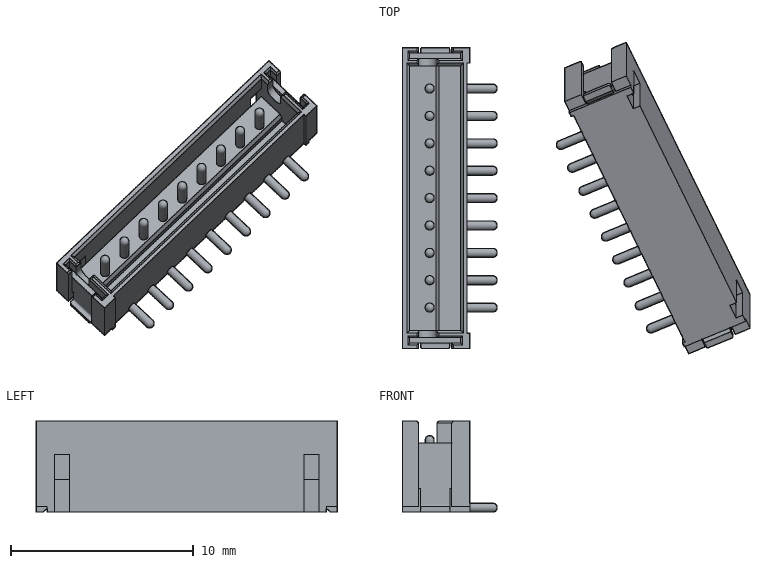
import math

import cadquery as cq


length = 16.5
height = 5.0
body_width = 3.55
flange_width = 3.7
flange_depth = 0.85
end_face = length / 2

wall = 0.4
cavity_width = 2.8
end_wall_inner = 1.0
floor_z = 1.8
lead_in = 0.15
lead_in_height = 0.2
step_x = 1.85
step_run = 0.15
step_bevel = 0.3
low_floor_z = 1.0

panel_outer = 0.3
panel_inner = 0.6
panel_top = 3.8
post_gap_start = 0.9
post_gap_end = 2.7
notch_width = 1.0
edge_chamfer = 0.1

slit_width = 0.1
foot_start = post_gap_start + slit_width
foot_end = post_gap_end - slit_width
foot_top = 0.3
foot_toe = 0.37
foot_round = 0.1
relief_depth = 0.6
relief_slope_top = 0.2
slit_top = 1.3

window_offset = 1.0
window_width = 0.82
window_top = 3.15

pin_count = 9
pin_pitch = 1.5
pin_diameter = 0.5
pin_x = 1.5
pin_top = 4.2
pin_reach = 5.2


def block(x0, x1, y0, y1, z0, z1):
    """Axis-aligned box between the given limits."""
    return cq.Workplane("XY").box(x1 - x0, y1 - y0, z1 - z0, centered=False).translate((x0, y0, z0))


def flared_opening(x0, x1, y0, y1, bottom, flare, flare_height):
    """Rectangular cutter open at the housing top, widening by `flare` over `flare_height`."""
    taper = math.degrees(math.atan2(flare, flare_height))
    mouth = (
        cq.Workplane("XY")
        .workplane(offset=height)
        .center((x0 + x1) / 2, (y0 + y1) / 2)
        .rect(x1 - x0 + 2 * flare, y1 - y0 + 2 * flare)
        .extrude(-flare_height, taper=taper)
    )
    return block(x0, x1, y0, y1, bottom, height).union(mouth)


def both_ends(shape):
    """A +Y end shape together with its mirror image at the -Y end."""
    return shape.union(shape.mirror("XZ"))


def housing_blank():
    """Solid block with a wider flange at each end."""
    body = block(0, body_width, -end_face, end_face, 0, height)
    flange = block(0, flange_width, end_face - flange_depth, end_face, 0, height)
    return body.union(both_ends(flange))


def cavity():
    """Mating cavity whose floor steps down, past a bevelled edge, on the +X side of the pins."""
    far_wall = wall + cavity_width
    half_length = end_face - end_wall_inner
    opening = flared_opening(
        wall, far_wall, -half_length, half_length, floor_z, lead_in, lead_in_height
    )
    low_floor = (
        cq.Workplane("XZ")
        .moveTo(step_x, floor_z)
        .lineTo(step_x + step_run, floor_z - step_bevel)
        .lineTo(step_x + step_run, low_floor_z)
        .lineTo(far_wall, low_floor_z)
        .lineTo(far_wall, floor_z)
        .close()
        .extrude(half_length, both=True)
    )
    return opening.union(low_floor)


def end_pocket():
    """Pocket above the end panel, with the full-height gap between the corner posts."""
    pocket = flared_opening(
        wall,
        wall + cavity_width,
        end_face - panel_inner,
        end_face - panel_outer,
        panel_top,
        edge_chamfer,
        edge_chamfer,
    )
    gap = flared_opening(
        post_gap_start,
        post_gap_end,
        end_face - panel_outer,
        end_face,
        0,
        edge_chamfer,
        edge_chamfer,
    )
    return pocket.union(gap)


def key_notch():
    """Round-bottomed notch through the wall between the end pocket and the cavity."""
    radius = notch_width / 2
    notch_y = end_face - end_wall_inner
    wall_thickness = end_wall_inner - panel_inner
    slot = flared_opening(
        post_gap_start,
        post_gap_start + notch_width,
        notch_y,
        notch_y + wall_thickness,
        panel_top,
        edge_chamfer,
        edge_chamfer,
    )
    round_bottom = (
        cq.Workplane("XZ", origin=(post_gap_start + radius, notch_y, panel_top))
        .circle(radius)
        .extrude(-wall_thickness)
    )
    return slot.union(round_bottom)


def foot_relief():
    """Undercut below the corner posts and the two slits beside the latch foot."""
    inner_y = end_face - relief_depth
    undercut = block(0, flange_width, inner_y, end_face, 0, foot_top)
    slits = block(post_gap_start, foot_start, inner_y, end_face, 0, slit_top).union(
        block(foot_end, post_gap_end, inner_y, end_face, 0, slit_top)
    )
    return undercut.union(slits)


def latch_foot():
    """Foot below the end panel: sloped behind its toe, rounded into the panel above it."""
    round_start = end_face - panel_outer + foot_round
    round_middle = foot_round * (1 - math.sqrt(0.5))
    foot = (
        cq.Workplane("YZ", origin=(foot_start, 0, 0))
        .moveTo(end_face, 0)
        .lineTo(end_face, foot_top)
        .lineTo(round_start, foot_top)
        .threePointArc(
            (end_face - panel_outer + round_middle, foot_top + round_middle),
            (end_face - panel_outer, foot_top + foot_round),
        )
        .lineTo(end_face - relief_depth, foot_top + foot_round)
        .lineTo(end_face - relief_depth, relief_slope_top)
        .lineTo(end_face - foot_toe, 0)
        .close()
        .extrude(foot_end - foot_start)
    )
    return foot.faces(">Y").edges("|Z").fillet(foot_round)


def wall_window():
    """Window through the -X wall, running from the underside to above the cavity floor."""
    outer_y = end_face - window_offset
    return block(0, wall, outer_y - window_width, outer_y, 0, window_top)


def pin(y):
    """Right-angle round pin with hemispherical tips."""
    radius = pin_diameter / 2
    upright_length = pin_top - pin_diameter
    tail_length = pin_reach - radius - pin_x
    upright = cq.Workplane("XY", origin=(pin_x, y, radius)).circle(radius).extrude(upright_length)
    tail = cq.Workplane("YZ", origin=(pin_x, y, radius)).circle(radius).extrude(tail_length)
    ball = cq.Workplane("XY").sphere(radius)
    shape = upright.union(tail)
    for x, z in (
        (pin_x, radius),
        (pin_x, pin_top - radius),
        (pin_reach - radius, radius),
    ):
        shape = shape.union(ball.translate((x, y, z)))
    return shape


result = housing_blank().cut(cavity())
for cutter in (end_pocket(), key_notch(), foot_relief(), wall_window()):
    result = result.cut(both_ends(cutter))
result = result.union(both_ends(latch_foot()))
for index in range(pin_count):
    result = result.union(pin((index - (pin_count - 1) / 2) * pin_pitch))